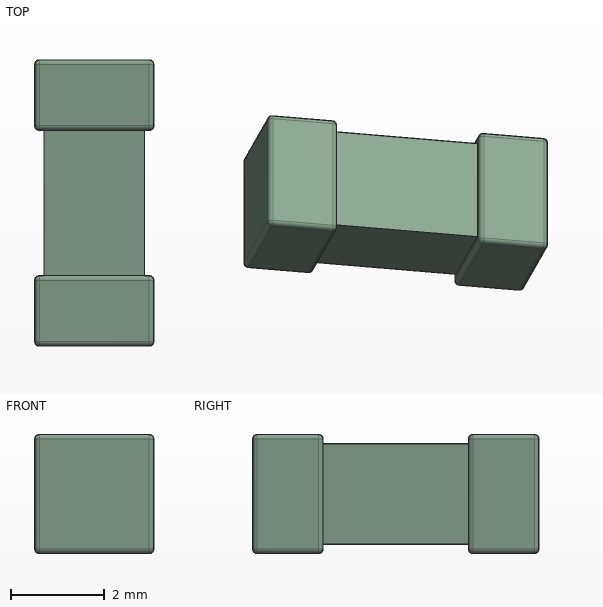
import cadquery as cq

total_length = 6.1
cap_width = 2.54
cap_length = 1.5
body_width = 2.15
edge_radius = 0.1

cap_center = (total_length - cap_length) / 2
body_length = 2 * cap_center


def end_cap(side):
    """Square end cap with every edge rounded; side is -1 or +1 along Y."""
    block = cq.Workplane("XY").box(cap_width, cap_length, cap_width)
    return block.edges().fillet(edge_radius).translate((0, side * cap_center, 0))


result = cq.Workplane("XY").box(body_width, body_length, body_width)

for side in (-1, 1):
    result = result.union(end_cap(side))